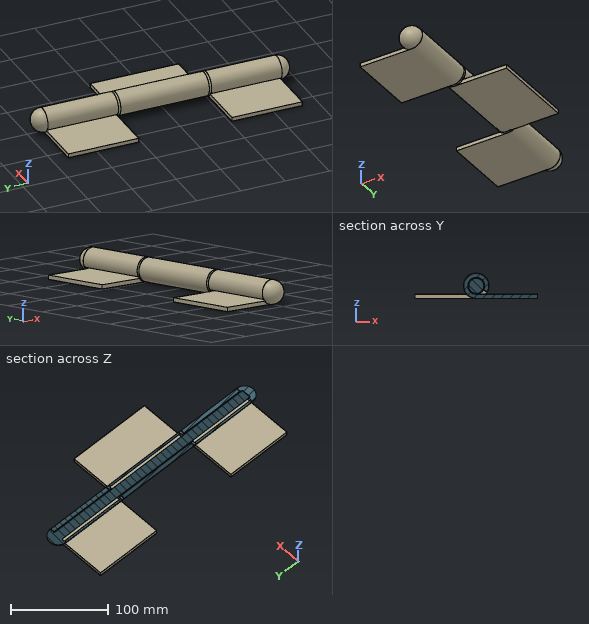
import cadquery as cq
import math

total_length = 291.0
sheet_thickness = 4.7
bore_diameter = 17.0
pin_diameter = 16.0
ring_diameter = 26.0
outer_leaf_length = 79.7
middle_leaf_length = 100.0
washer_thickness = 2.5
collar_length = washer_thickness
overall_width = 126.0
curl_end_angle = 30.0

bore_radius = bore_diameter / 2
knuckle_radius = bore_radius + sheet_thickness
plate_reach = overall_width / 2

middle_leaf_end = middle_leaf_length / 2
outer_leaf_start = middle_leaf_end + washer_thickness
outer_leaf_end = outer_leaf_start + outer_leaf_length
dome_start = outer_leaf_end + collar_length
hinge_end = total_length / 2

ring_radius = ring_diameter / 2
dome_height = hinge_end - dome_start
dome_radius = (ring_radius**2 + dome_height**2) / (2 * dome_height)


def cylinder_along_y(diameter, y_start, length):
    """Cylinder on the hinge axis, running from y_start towards +Y."""
    return cq.Workplane("XZ", origin=(0, y_start, 0)).circle(diameter / 2).extrude(-length)


def make_leaf(y_start, length, side):
    """Sheet with a flat plate to -X (side = -1) or +X (side = 1), rolled into a knuckle.

    The roll leaves the plate below the axis, passes the far side and the top of the bore,
    and stops short of the plate, so that a narrow gap stays open along the knuckle.
    """
    end_x = side * math.cos(math.radians(curl_end_angle))
    end_z = -math.sin(math.radians(curl_end_angle))
    mid_angle = math.radians((90 - curl_end_angle) / 2 + curl_end_angle)
    mid_x = -side * math.cos(mid_angle)
    mid_z = math.sin(mid_angle)
    return (
        cq.Workplane("XZ", origin=(0, y_start, 0))
        .moveTo(side * plate_reach, -knuckle_radius)
        .lineTo(0, -knuckle_radius)
        .threePointArc(
            (knuckle_radius * mid_x, knuckle_radius * mid_z),
            (knuckle_radius * end_x, knuckle_radius * end_z),
        )
        .lineTo(bore_radius * end_x, bore_radius * end_z)
        .threePointArc((bore_radius * mid_x, bore_radius * mid_z), (0, -bore_radius))
        .lineTo(side * plate_reach, -bore_radius)
        .close()
        .extrude(-length)
    )


def make_washer(y_start):
    """Flat ring between two neighbouring knuckles."""
    ring = cylinder_along_y(ring_diameter, y_start, washer_thickness)
    return ring.cut(cylinder_along_y(bore_diameter, y_start, washer_thickness))


def make_domed_end():
    """Short collar closed by a spherical dome, at the +Y end of the hinge."""
    mid_angle = math.asin(ring_radius / dome_radius) / 2
    mid_x = dome_radius * math.sin(mid_angle)
    mid_y = hinge_end - dome_radius * (1 - math.cos(mid_angle))
    return (
        cq.Workplane("XY")
        .moveTo(0, outer_leaf_end)
        .lineTo(ring_radius, outer_leaf_end)
        .lineTo(ring_radius, dome_start)
        .threePointArc((mid_x, mid_y), (0, hinge_end))
        .close()
        .revolve(360, (0, 0, 0), (0, 1, 0))
    )


outer_leaves = [
    make_leaf(y_start, outer_leaf_length, -1) for y_start in (-outer_leaf_end, outer_leaf_start)
]
middle_leaf = make_leaf(-middle_leaf_end, middle_leaf_length, 1)

washers = [make_washer(y_start) for y_start in (-outer_leaf_start, middle_leaf_end)]

shank_length = outer_leaf_end + dome_start
shank = cylinder_along_y(pin_diameter, -dome_start, shank_length)
pin = make_domed_end().union(shank)

cap = make_domed_end().mirror("XZ").cut(shank)

result = cq.Compound.makeCompound([
    *[leaf.val() for leaf in outer_leaves],
    middle_leaf.val(),
    *[washer.solids().val() for washer in washers],
    pin.solids().val(),
    cap.solids().val(),
])